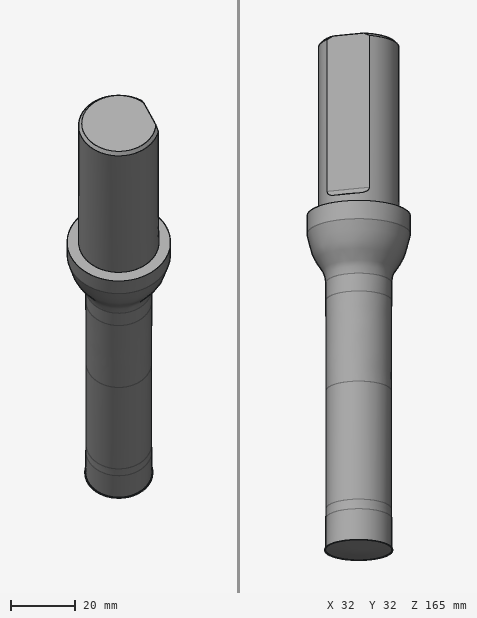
import cadquery as cq

total_length = 165.0

shank_radius = 24.9 / 2
shank_chamfer = 1.0
flat_distance = 10.4
flat_end_z = 112.7

collar_radius = 32.0 / 2
collar_top_z = 109.2
collar_bottom_z = 103.3
shoulder_middle_radius = 13.7
shoulder_middle_z = 95.4
shoulder_top_direction = (0.27, 1)
shoulder_bottom_z = 87.5

neck_radius = 20.5 / 2
neck_bottom_z = 81.7
guide_radius = 20.3 / 2
guide_top_z = 52.5
guide_bottom_z = 14.2
nose_top_z = 11.0

tip_radius = 21.1 / 2
tip_thickness = 1.0
tip_cone_height = 0.8


def make_holder_blank():
    """Revolved holder: nose, guide, neck, flowing shoulder, collar and shank."""
    profile = (
        cq.Workplane("XZ")
        .moveTo(0, tip_thickness)
        .lineTo(neck_radius, tip_thickness)
        .lineTo(neck_radius, nose_top_z)
        .lineTo(guide_radius, guide_bottom_z)
        .lineTo(guide_radius, guide_top_z)
        .lineTo(neck_radius, neck_bottom_z)
        .lineTo(neck_radius, shoulder_bottom_z)
        .spline(
            [(shoulder_middle_radius, shoulder_middle_z), (collar_radius, collar_bottom_z)],
            tangents=[(0, 1), shoulder_top_direction],
            includeCurrent=True,
        )
        .lineTo(collar_radius, collar_top_z)
        .lineTo(shank_radius, collar_top_z)
        .lineTo(shank_radius, total_length - shank_chamfer)
        .lineTo(shank_radius - shank_chamfer, total_length)
        .lineTo(0, total_length)
        .close()
    )
    return profile.revolve(360, (0, 0, 0), (0, 1, 0))


def make_flat_cutter():
    """Block that removes the +Y side of the shank, with a rounded runout at its lower end."""
    runout_radius = shank_radius - flat_distance
    cutter_width = 2 * shank_radius
    cutter_depth = 2 * runout_radius
    cutter_height = total_length - flat_end_z
    return (
        cq.Workplane("XY")
        .box(cutter_width, cutter_depth, cutter_height, centered=(True, False, False))
        .edges("|X and <Y and <Z")
        .fillet(runout_radius)
        .translate((0, flat_distance, flat_end_z))
    )


def make_holder():
    """Holder with the clamping flat on its shank."""
    return make_holder_blank().cut(make_flat_cutter())


def make_cutting_tip():
    """Thin disc at the lower end, slightly wider than the holder, with a shallow conical face."""
    profile = (
        cq.Workplane("XZ")
        .moveTo(0, 0)
        .lineTo(tip_radius, tip_cone_height)
        .lineTo(tip_radius, tip_thickness)
        .lineTo(0, tip_thickness)
        .close()
    )
    return profile.revolve(360, (0, 0, 0), (0, 1, 0))


holder = make_holder()
cutting_tip = make_cutting_tip()

result = cq.Compound.makeCompound([holder.val(), cutting_tip.val()])